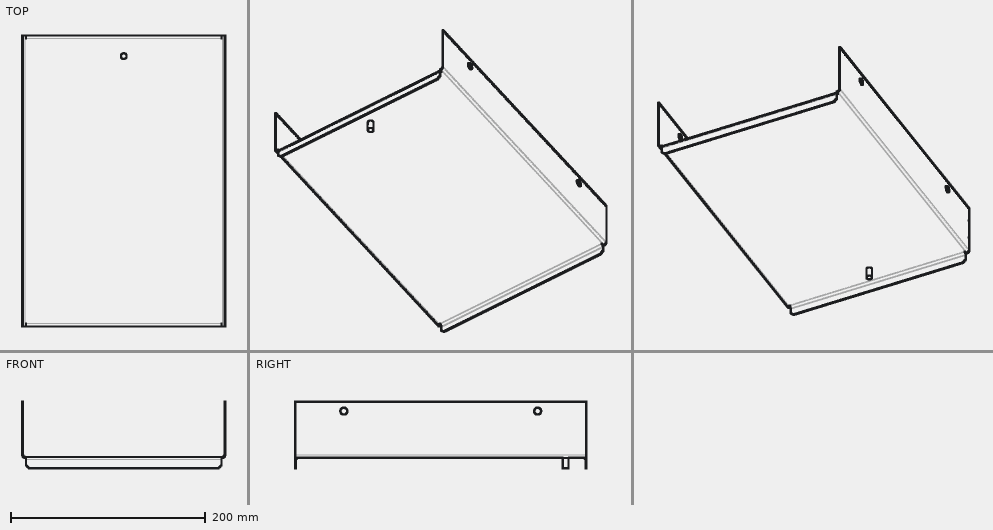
import cadquery as cq

width = 209.0
length = 299.5
height = 69.0
sheet = 1.0
bend_outer = 3.0
bend_inner = bend_outer - sheet

flange_drop = 12.0
flange_setback = 4.0
flange_corner = 3.3

hole_diameter = 7.0
hole_from_end = 50.0
hole_from_top = 10.0

pin_diameter = 6.0
pin_from_end = 21.3

floor_top = flange_drop
floor_bottom = floor_top - sheet
half_width = width / 2
half_length = length / 2
flange_width = width - 2 * flange_setback


def make_channel():
    """Floor and two upright walls, joined by rounded bends along Y."""
    wall_height = height - floor_bottom
    outer = (
        cq.Workplane("XY")
        .box(width, length, wall_height, centered=(True, True, False))
        .edges("|Y and <Z")
        .fillet(bend_outer)
    )
    inner = (
        cq.Workplane("XY")
        .workplane(offset=sheet)
        .box(width - 2 * sheet, length, wall_height, centered=(True, True, False))
        .edges("|Y and <Z")
        .fillet(bend_inner)
    )
    return outer.cut(inner).translate((0, 0, floor_bottom))


def make_floor_end_gap(end):
    """Strip of floor end between the side bends, removed to make room for a flange bend."""
    return (
        cq.Workplane("XY")
        .box(flange_width, bend_outer, sheet, centered=(True, True, False))
        .translate((0, end * (half_length - bend_outer / 2), floor_bottom))
    )


def make_flange(end):
    """Downward flange with its quarter-round bend and clipped lower corners."""
    bend_start = end * (half_length - bend_outer)
    outer_face = end * half_length
    inner_face = end * (half_length - sheet)
    bend_level = floor_top - bend_outer
    diagonal = 0.5 ** 0.5
    outer_middle = (bend_start + end * bend_outer * diagonal, bend_level + bend_outer * diagonal)
    inner_middle = (bend_start + end * bend_inner * diagonal, bend_level + bend_inner * diagonal)
    return (
        cq.Workplane("YZ")
        .moveTo(bend_start, floor_top)
        .threePointArc(outer_middle, (outer_face, bend_level))
        .lineTo(outer_face, 0)
        .lineTo(inner_face, 0)
        .lineTo(inner_face, bend_level)
        .threePointArc(inner_middle, (bend_start, floor_bottom))
        .close()
        .extrude(flange_width / 2, both=True)
        .edges("|Y and <Z")
        .chamfer(flange_corner)
    )


def make_wall_holes():
    """Cutters that run across the tray and pierce both walls."""
    hole_y = half_length - hole_from_end
    return (
        cq.Workplane("YZ")
        .pushPoints([(-hole_y, height - hole_from_top), (hole_y, height - hole_from_top)])
        .circle(hole_diameter / 2)
        .extrude(half_width, both=True)
    )


def make_tray():
    tray = make_channel()
    for end in (-1, 1):
        tray = tray.cut(make_floor_end_gap(end)).union(make_flange(end))
    return tray.cut(make_wall_holes())


def make_pin():
    """Round pin under the floor, centred across the width and reaching the flange bottom level."""
    return (
        cq.Workplane("XY")
        .center(0, half_length - pin_from_end)
        .circle(pin_diameter / 2)
        .extrude(floor_bottom)
    )


tray = make_tray()
pin = make_pin()

result = cq.Compound.makeCompound([tray.val(), pin.val()])